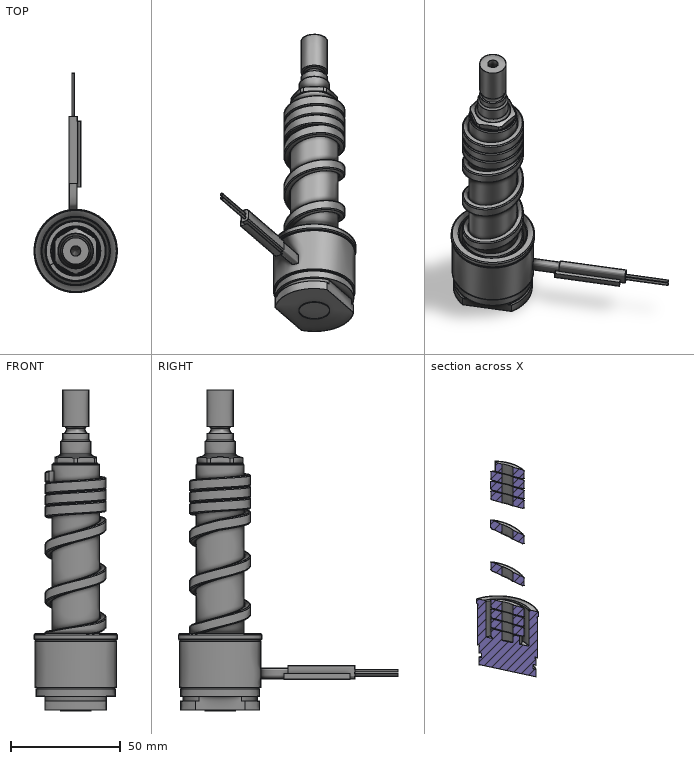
import cadquery as cq
import math

total_height = 146.2

disc_radius = 7.0
foot_radius = 18.0
foot_groove_radius = 17.0
across_flats_foot = 28.0
foot_bottom_z = 0.4
foot_groove_bottom_z = 4.5
ring_bottom_z = 6.6

body_bottom_z = 10.7
body_radius = 18.6
lip_radius = 19.0
lip_bottom_z = 32.2
cup_top_z = 35.2
cup_edge_chamfer = 0.5
relief_depth = 0.25
relief_height = 0.6
recess_radius = 15.3
recess_floor_z = 16.0

sleeve_radius = 10.9
sleeve_top_z = 112.5
sleeve_chamfer = 0.5
washer_radius = 10.0
nut_bottom_z = 112.9
nut_top_z = 116.0
nut_across_flats = 19.0
nut_corner_radius = 10.5
nut_chamfer_height = 0.8
nut_chamfer_width = 2.4

spindle_radius = 6.9
spindle_foot_radius = 7.9
spindle_foot_top_z = 117.0
spindle_top_z = 122.6
collar_radius = 6.0
collar_bottom_z = 123.4
collar_top_z = 126.4
neck_radius = 4.2
neck_foot_radius = 5.2
neck_curve_radius = 3.0
neck_chamfer = 0.7
stud_bottom_z = 129.4
bore_radius = 2.3
bore_depth = 10.0
bore_point_angle = 118.0

spring_outer_radius = 13.9
wire_thickness = 2.5
wire_height = 5.0
wire_chamfer = 0.5
spring_middle_z = 62.7
open_pitch = 22.2
closed_pitch = 5.2
open_angle_below = 399.0
open_angle_above = 357.0
transition_angle_below = 102.0
transition_angle_above = 144.0
closed_angle = 1148.0

cable_x = -1.2
cable_z = 17.1
cable_width = 3.7
cable_height = 4.9
cable_left_fillet = 0.6
cable_right_fillet = 1.4
cable_start_y = 17.0
jacket_width = 3.9
jacket_height = 6.2
jacket_z = 17.6
jacket_fillet = 1.3
jacket_start_y = 30.8
jacket_end_y = 61.3
strip_start_y = 29.1
strip_end_y = 59.1
strip_right_x = 2.4
strip_bottom_z = 14.4
strip_top_z = 17.0
lead_radius = 0.6
lead_spacing = 1.9
lead_middle_z = 17.35
lead_end_y = 81.0


def cylinder(radius, bottom_z, top_z):
    return cq.Workplane("XY").workplane(offset=bottom_z).circle(radius).extrude(top_z - bottom_z)


def box(x_range, y_range, z_range):
    (x0, x1), (y0, y1), (z0, z1) = x_range, y_range, z_range
    return cq.Workplane("XY").box(x1 - x0, y1 - y0, z1 - z0, centered=False).translate((x0, y0, z0))


def relief_groove(shaft_radius, top_z):
    """Ring that cuts a narrow groove into a shaft just below a shoulder at top_z."""
    bottom_z = top_z - relief_height
    outer = cylinder(shaft_radius, bottom_z, top_z)
    return outer.cut(cylinder(shaft_radius - relief_depth, bottom_z, top_z))


def make_base():
    foot = cylinder(foot_radius, foot_bottom_z, foot_groove_bottom_z)
    foot = foot.union(cylinder(foot_groove_radius, foot_groove_bottom_z, ring_bottom_z))
    half_flats = across_flats_foot / 2
    flatted = box(
        (-half_flats, half_flats),
        (-foot_radius, foot_radius),
        (foot_bottom_z, ring_bottom_z),
    )
    ring = cylinder(foot_radius, ring_bottom_z, body_bottom_z)
    ring = ring.cut(relief_groove(foot_radius, body_bottom_z))
    return foot.intersect(flatted).union(ring).union(cylinder(disc_radius, 0, foot_bottom_z))


def make_cup():
    lip = cylinder(lip_radius, lip_bottom_z, cup_top_z).edges().chamfer(cup_edge_chamfer)
    body = cylinder(body_radius, body_bottom_z, lip_bottom_z)
    body = body.cut(relief_groove(body_radius, lip_bottom_z))
    recess = cylinder(recess_radius, recess_floor_z, cup_top_z)
    recess_rim = recess.faces(">Z").workplane().circle(recess_radius + cup_edge_chamfer)
    rim_chamfer = recess_rim.extrude(-cup_edge_chamfer, combine=False, taper=45)
    return body.union(lip).cut(recess).cut(rim_chamfer)


def make_nut():
    corner_diameter = nut_across_flats / math.cos(math.pi / 6)
    hexagon = (
        cq.Workplane("XY")
        .workplane(offset=nut_bottom_z)
        .polygon(6, corner_diameter)
        .extrude(nut_top_z - nut_bottom_z)
        .rotate((0, 0, 0), (0, 0, 1), 30)
    )
    turned_blank = (
        cylinder(nut_corner_radius, nut_bottom_z, nut_top_z)
        .faces(">Z")
        .edges()
        .chamfer(nut_chamfer_height, nut_chamfer_width)
    )
    return hexagon.intersect(turned_blank)


def make_spindle():
    outline = (
        cq.Workplane("XZ")
        .moveTo(0, nut_top_z)
        .lineTo(spindle_foot_radius, nut_top_z)
        .lineTo(spindle_radius, spindle_foot_top_z)
        .lineTo(spindle_radius, spindle_top_z)
        .lineTo(collar_radius, collar_bottom_z)
        .lineTo(collar_radius, collar_top_z)
        .lineTo(neck_foot_radius, collar_top_z)
        .radiusArc((neck_radius, stud_bottom_z - neck_chamfer), neck_curve_radius)
        .lineTo(neck_radius + neck_chamfer, stud_bottom_z)
        .lineTo(collar_radius, stud_bottom_z)
        .lineTo(collar_radius, total_height)
        .lineTo(0, total_height)
        .close()
    )
    bore_shoulder_z = total_height - bore_depth
    bore_point_height = bore_radius / math.tan(math.radians(bore_point_angle / 2))
    bore = (
        cq.Workplane("XZ")
        .moveTo(0, total_height)
        .lineTo(bore_radius, total_height)
        .lineTo(bore_radius, bore_shoulder_z)
        .lineTo(0, bore_shoulder_z - bore_point_height)
        .close()
    )
    axis_end = (0, 1, 0)
    return outline.revolve(360, (0, 0, 0), axis_end).cut(bore.revolve(360, (0, 0, 0), axis_end))


def make_sleeve():
    sleeve = cylinder(sleeve_radius, recess_floor_z, sleeve_top_z).faces(">Z").chamfer(sleeve_chamfer)
    return sleeve.union(cylinder(washer_radius, sleeve_top_z, nut_bottom_z))


def make_coil(pitch, start_angle, sweep_angle, start_z):
    """Right-handed length of spring wire whose mid-height starts at start_z."""
    path = cq.Wire.makeHelix(pitch, pitch * sweep_angle / 360, spring_outer_radius)
    half = wire_height / 2
    spring_inner_radius = spring_outer_radius - wire_thickness
    section = (
        cq.Workplane("XZ")
        .moveTo(spring_inner_radius, -half)
        .lineTo(spring_outer_radius - wire_chamfer, -half)
        .lineTo(spring_outer_radius, wire_chamfer - half)
        .lineTo(spring_outer_radius, half - wire_chamfer)
        .lineTo(spring_outer_radius - wire_chamfer, half)
        .lineTo(spring_inner_radius, half)
        .close()
    )
    coil = section.sweep(cq.Workplane(path), isFrenet=True)
    return coil.rotate((0, 0, 0), (0, 0, 1), start_angle).translate((0, 0, start_z))


def make_spring_lengths():
    """Lengths of wire from bottom to top; mid-height is spring_middle_z at angle zero (+X)."""
    transition_pitch = (open_pitch + closed_pitch) / 2
    lengths_below = [
        (closed_pitch, closed_angle),
        (transition_pitch, transition_angle_below),
        (open_pitch, open_angle_below),
    ]
    lengths_above = [
        (open_pitch, open_angle_above),
        (transition_pitch, transition_angle_above),
        (closed_pitch, closed_angle),
    ]
    angle = -sum(sweep for pitch, sweep in lengths_below)
    z = spring_middle_z - sum(pitch * sweep for pitch, sweep in lengths_below) / 360
    coils = []
    for pitch, sweep in lengths_below + lengths_above:
        coils.append(make_coil(pitch, angle, sweep, z))
        angle += sweep
        z += pitch * sweep / 360
    return coils


def make_cable_blank(width, height, middle_z, start_y):
    return box(
        (cable_x - width / 2, cable_x + width / 2),
        (start_y, jacket_end_y),
        (middle_z - height / 2, middle_z + height / 2),
    )


def make_cable():
    cable = make_cable_blank(cable_width, cable_height, cable_z, cable_start_y)
    cable = cable.faces("<X").edges("|Y").fillet(cable_left_fillet)
    cable = cable.faces(">X").edges("|Y").fillet(cable_right_fillet)
    jacket = make_cable_blank(jacket_width, jacket_height, jacket_z, jacket_start_y)
    jacket = jacket.edges("|Y").fillet(jacket_fillet)
    strip = box((cable_x, strip_right_x), (strip_start_y, strip_end_y), (strip_bottom_z, strip_top_z))
    cable = cable.union(jacket).union(strip)
    for side in (-1, 1):
        lead_z = lead_middle_z + side * lead_spacing / 2
        lead = (
            cq.Workplane("XZ", origin=(cable_x, jacket_start_y, lead_z))
            .circle(lead_radius)
            .extrude(jacket_start_y - lead_end_y)
        )
        cable = cable.union(lead)
    return cable


result = make_base().union(make_cup()).union(make_sleeve())
result = result.union(make_nut()).union(make_spindle())
for coil in make_spring_lengths():
    result = result.union(coil)
result = result.union(make_cable())